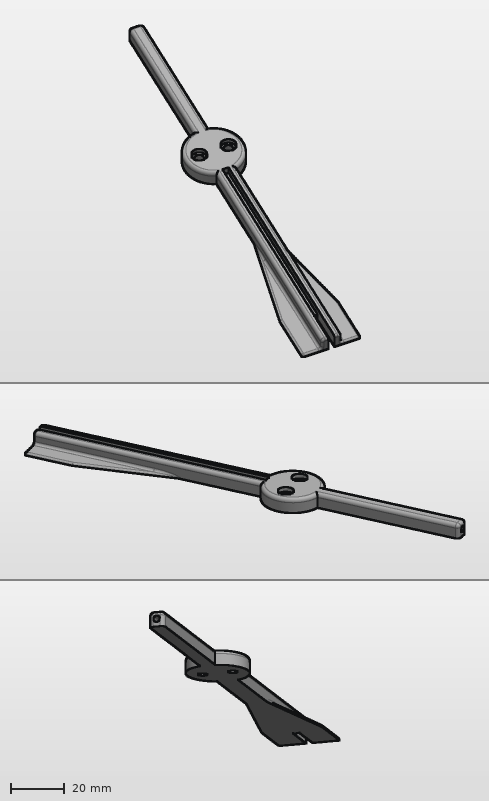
import cadquery as cq

length = 175.0
height = 6.0
edge_round = 1.5

disc_x = 70.0
disc_diameter = 24.0
screw_offset = 6.0
screw_diameter = 3.5
head_diameter = 6.0
head_depth = 2.0

arm_width = 6.0
tip_hole_diameter = 2.5
tip_hole_depth = 6.0
tip_cone_ratio = 0.6

tail_width = 8.2
groove_width = 2.5
groove_depth = 3.0
groove_start = disc_x + disc_diameter / 2 - edge_round
slot_start = 160.0

fin_start = 114.6
fin_knee = 155.0
fin_thickness = 1.0
fin_round = 0.96
fin_root_round = 1.0
end_round = 0.96
pick_margin = 0.09


def bar(x_start, x_end, width, bar_height):
    """Rectangular bar along X, centred on Y and standing on Z = 0."""
    return (
        cq.Workplane("XY")
        .box(x_end - x_start, width, bar_height, centered=(False, True, False))
        .translate((x_start, 0, 0))
    )


def make_disc():
    disc = cq.Workplane("XY").center(disc_x, 0).circle(disc_diameter / 2).extrude(height)
    return disc.faces(">Z").edges().fillet(edge_round)


def make_arm():
    arm = bar(0, disc_x, arm_width, height)
    return arm.edges("((<X and |Z) or >Z) exc >X").fillet(edge_round)


def make_fins():
    half_span = disc_diameter / 2
    half_tail = tail_width / 2
    fins = (
        cq.Workplane("XY")
        .moveTo(fin_start, -half_tail)
        .lineTo(fin_knee, -half_span)
        .lineTo(length, -half_span)
        .lineTo(length, half_span)
        .lineTo(fin_knee, half_span)
        .lineTo(fin_start, half_tail)
        .close()
        .extrude(fin_thickness)
    )
    return fins.faces(">Z").edges("not (<X or >X)").fillet(fin_round)


def make_tail():
    """Tail bar and fins, blended where they meet and rounded around the end face."""
    tail = bar(disc_x, length, tail_width, height).edges("|X and >Z").fillet(edge_round)
    tail = tail.union(make_fins())
    for side in (-1, 1):
        root_y = side * tail_width / 2
        root_box = cq.selectors.BoxSelector(
            (fin_start, root_y - pick_margin, fin_thickness - pick_margin),
            (length, root_y + pick_margin, fin_thickness + pick_margin),
        )
        tail = tail.edges(root_box).fillet(fin_root_round)
    return tail.faces(">X").edges("not <Z").fillet(end_round)


def cut_screw_holes(body):
    return (
        body.faces(">Z")
        .workplane(origin=(disc_x, 0, height))
        .pushPoints([(0, -screw_offset), (0, screw_offset)])
        .cboreHole(screw_diameter, head_diameter, head_depth)
    )


def cut_tip_hole(body):
    """Drilled hole along the arm, ending in a drill-point cone."""
    radius = tip_hole_diameter / 2
    hole = (
        cq.Workplane("XY")
        .lineTo(0, radius)
        .lineTo(tip_hole_depth, radius)
        .lineTo(tip_hole_depth + radius * tip_cone_ratio, 0)
        .close()
        .revolve(360, (0, 0, 0), (1, 0, 0))
        .translate((0, 0, height / 2))
    )
    return body.cut(hole)


def cut_groove_and_slot(body):
    groove = bar(groove_start, length, groove_width, groove_depth)
    slot = bar(slot_start, length, groove_width, height)
    return body.cut(groove.translate((0, 0, height - groove_depth))).cut(slot)


body = make_disc().union(make_arm()).union(make_tail())
body = cut_screw_holes(body)
body = cut_tip_hole(body)
result = cut_groove_and_slot(body)